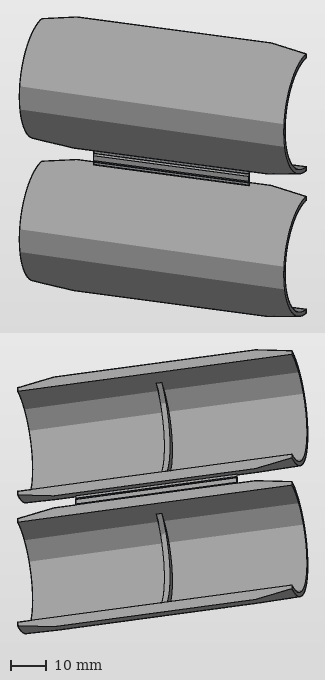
import cadquery as cq
import math

total_height = 81.5
shell_length = 80.0
shell_height = 38.8
outer_radius = 17.5
inner_radius = 16.3

lip_half_height = shell_height / 2
tangent_depth = 9.5
lip_blend_radius = 5.3
taper_length = 10.6
end_flat_width = 1.2

rib_width = 1.6
rib_crown_depth = 13.6
rib_inner_radius = 18.1

web_length = 46.95
web_depth = 1.95
web_thickness = 0.3
bead_thickness = 0.8
bead_flat_half_height = 0.7
bead_half_height = 1.3
web_overlap = 0.8

half_pitch = (total_height - shell_height) / 2
half_length = shell_length / 2

flank_angle = math.acos(tangent_depth / outer_radius)
normal = (-math.cos(flank_angle), math.sin(flank_angle))
tangent_point = (-tangent_depth, outer_radius * math.sin(flank_angle))
flank_slope = normal[0] / normal[1]
corner_y = tangent_point[0] - (lip_half_height - tangent_point[1]) / flank_slope

blend_turn = math.pi / 2 - flank_angle
blend_setback = lip_blend_radius * math.tan(blend_turn / 2)
blend_center = (corner_y + blend_setback, lip_half_height - lip_blend_radius)


def on_circle(center, radius, angle):
    """Point (y, z) on a circle; zero angle is -Y and 90 degrees is +Z."""
    return (center[0] - radius * math.cos(angle), center[1] + radius * math.sin(angle))


def mirror_z(point):
    return (point[0], -point[1])


def extrude_along_x(profile, length):
    return profile.extrude(length / 2, both=True)


def full_cylinder(radius, center_y=0.0):
    return extrude_along_x(cq.Workplane("YZ").center(center_y, 0).circle(radius), shell_length)


blend_start = (blend_center[0], lip_half_height)
blend_middle = on_circle(blend_center, lip_blend_radius, (flank_angle + math.pi / 2) / 2)
blend_end = on_circle(blend_center, lip_blend_radius, flank_angle)


def make_outer_body():
    profile = (
        cq.Workplane("YZ")
        .moveTo(0, lip_half_height)
        .lineTo(*blend_start)
        .threePointArc(blend_middle, blend_end)
        .lineTo(*tangent_point)
        .threePointArc((-outer_radius, 0), mirror_z(tangent_point))
        .lineTo(*mirror_z(blend_end))
        .threePointArc(mirror_z(blend_middle), mirror_z(blend_start))
        .lineTo(0, -lip_half_height)
        .close()
    )
    return extrude_along_x(profile, shell_length)


def taper_section(work, flat_start, arc_start, arc_middle, arc_end):
    """Waste above a lip: flat and arc below, closed well clear of the shell."""
    clearance = shell_height / 4
    outside = (arc_end[0] + clearance * normal[0], arc_end[1] + clearance * normal[1])
    return (
        work.moveTo(*flat_start)
        .lineTo(*arc_start)
        .threePointArc(arc_middle, arc_end)
        .lineTo(*outside)
        .lineTo(0, lip_half_height + clearance)
        .close()
    )


def make_lip_taper():
    """Ruled waste at the -X end of the upper lip."""
    flat_z = math.sqrt(outer_radius**2 - end_flat_width**2)
    flat_angle = math.acos(end_flat_width / outer_radius)
    end_middle = on_circle((0, 0), outer_radius, (flat_angle + flank_angle) / 2)
    section = cq.Workplane("YZ", origin=(-half_length, 0, 0))
    section = taper_section(section, (0, flat_z), (-end_flat_width, flat_z), end_middle, tangent_point)
    section = section.workplane(offset=taper_length)
    section = taper_section(section, (0, lip_half_height), blend_start, blend_middle, blend_end)
    return section.loft(ruled=True)


def make_rib():
    crescent = full_cylinder(inner_radius).cut(
        full_cylinder(rib_inner_radius, rib_inner_radius - rib_crown_depth)
    )
    slab = cq.Workplane("XY").box(rib_width, 2 * outer_radius, shell_height)
    return crescent.intersect(slab.translate((0, -outer_radius, 0)))


def make_shell():
    taper = make_lip_taper()
    shell = make_outer_body()
    for end_taper in (taper, taper.mirror("YZ")):
        shell = shell.cut(end_taper).cut(end_taper.mirror("XY"))
    return shell.cut(full_cylinder(inner_radius)).union(make_rib())


def make_web():
    web_height = total_height - 2 * shell_height + 2 * web_overlap
    web = cq.Workplane("XY").box(web_length, web_thickness, web_height)
    half_web = web_thickness / 2
    half_bead = bead_thickness / 2
    bead = cq.Workplane("YZ").polyline([
        (half_web, bead_half_height),
        (half_bead, bead_flat_half_height),
        (half_bead, -bead_flat_half_height),
        (half_web, -bead_half_height),
        (-half_web, -bead_half_height),
        (-half_bead, -bead_flat_half_height),
        (-half_bead, bead_flat_half_height),
        (-half_web, bead_half_height),
    ]).close()
    return web.union(extrude_along_x(bead, web_length)).translate((0, -web_depth, 0))


shell = make_shell()
result = make_web()
for side in (-1, 1):
    result = result.union(shell.translate((0, 0, side * half_pitch)))